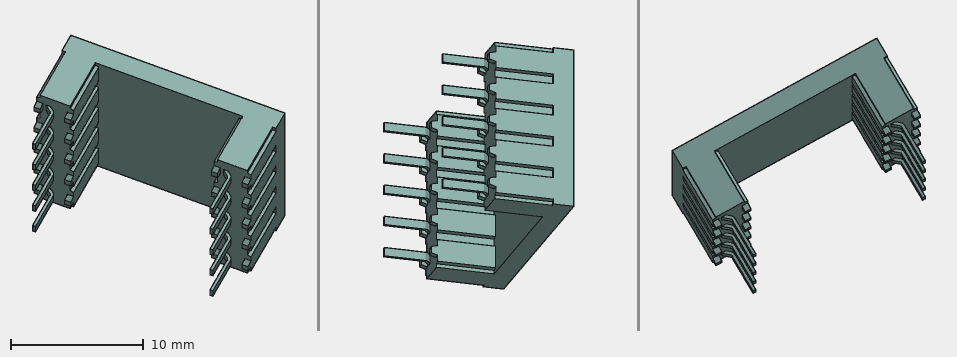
import cadquery as cq
import math

PLATE_WIDTH = 17.78
PLATE_THICKNESS = 1.62
HEIGHT = 12.7
PIN_COUNT = 5
PITCH = HEIGHT / PIN_COUNT

STRIP_WIDTH = 3.05
STRIP_DEPTH = 4.55
NOTCH_DEPTH = 0.28
NOTCH_FLOOR = 0.57
NOTCH_MOUTH = 0.78

FOOT_WIDTH = 0.52
FOOT_LENGTH = 0.5
FOOT_BASE = 0.8
FOOT_TIP = 0.5

PIN_WIDTH = 0.68
PIN_THICKNESS = 0.25
PIN_LENGTH = 3.75
PIN_OFFSET = 1.37
CRANK_ANGLE = 50.0
BEND_RADIUS = 0.1
BEND_DROP = 0.55

STRIP_FACE_Y = -STRIP_DEPTH
strip_starts = [-PLATE_WIDTH / 2, PLATE_WIDTH / 2 - STRIP_WIDTH]
pin_heights = [(i - (PIN_COUNT - 1) / 2) * PITCH for i in range(PIN_COUNT)]
notch_heights = [(i - PIN_COUNT / 2) * PITCH for i in range(PIN_COUNT + 1)]


def make_plate():
    """Back plate whose front face lies on Y = 0."""
    plate = cq.Workplane("XY").box(PLATE_WIDTH, PLATE_THICKNESS, HEIGHT)
    return plate.translate((0, PLATE_THICKNESS / 2, 0))


def make_notch(edge_x, inward, z):
    """Flared groove along Y, cut into a strip side; inward is the X direction into the strip."""
    floor_x = edge_x + inward * NOTCH_DEPTH
    outline = [
        (edge_x, z - NOTCH_MOUTH / 2),
        (floor_x, z - NOTCH_FLOOR / 2),
        (floor_x, z + NOTCH_FLOOR / 2),
        (edge_x, z + NOTCH_MOUTH / 2),
    ]
    return cq.Workplane("XZ").polyline(outline).close().extrude(STRIP_DEPTH)


def make_foot(start_x, z):
    """Foot that tapers in height towards its tip."""
    tip_y = STRIP_FACE_Y - FOOT_LENGTH
    outline = [
        (STRIP_FACE_Y, z - FOOT_BASE / 2),
        (tip_y, z - FOOT_TIP / 2),
        (tip_y, z + FOOT_TIP / 2),
        (STRIP_FACE_Y, z + FOOT_BASE / 2),
    ]
    return cq.Workplane("YZ").workplane(offset=start_x).polyline(outline).close().extrude(FOOT_WIDTH)


def make_pin(strip_x, z):
    """Flat pin that leaves the strip at an angle, bends round and then runs straight along -Y."""
    near_x = strip_x + PIN_OFFSET
    far_x = near_x + PIN_THICKNESS
    bend_x = near_x - BEND_RADIUS
    bend_y = STRIP_FACE_Y - BEND_DROP
    tip_y = STRIP_FACE_Y - PIN_LENGTH
    outer_radius = BEND_RADIUS + PIN_THICKNESS

    def on_bend(radius, degrees):
        angle = math.radians(degrees)
        return (bend_x + radius * math.cos(angle), bend_y + radius * math.sin(angle))

    def root(radius):
        """Point where the straight slanted side that follows the bend meets the strip face."""
        x, y = on_bend(radius, CRANK_ANGLE)
        return (x - (STRIP_FACE_Y - y) * math.tan(math.radians(CRANK_ANGLE)), STRIP_FACE_Y)

    outline = (
        cq.Workplane("XY")
        .workplane(offset=z - PIN_WIDTH / 2)
        .moveTo(near_x, tip_y)
        .lineTo(near_x, bend_y)
        .threePointArc(on_bend(BEND_RADIUS, CRANK_ANGLE / 2), on_bend(BEND_RADIUS, CRANK_ANGLE))
        .lineTo(*root(BEND_RADIUS))
        .lineTo(*root(outer_radius))
        .lineTo(*on_bend(outer_radius, CRANK_ANGLE))
        .threePointArc(on_bend(outer_radius, CRANK_ANGLE / 2), (far_x, bend_y))
        .lineTo(far_x, tip_y)
        .close()
    )
    return outline.extrude(PIN_WIDTH)


def make_strip(start_x):
    """Socket strip with grooved sides, feet and pins."""
    end_x = start_x + STRIP_WIDTH
    strip = cq.Workplane("XY").box(STRIP_WIDTH, STRIP_DEPTH, HEIGHT)
    strip = strip.translate((start_x + STRIP_WIDTH / 2, -STRIP_DEPTH / 2, 0))
    for z in notch_heights:
        strip = strip.cut(make_notch(start_x, 1, z))
        strip = strip.cut(make_notch(end_x, -1, z))
    for z in pin_heights:
        strip = strip.union(make_foot(start_x, z))
        strip = strip.union(make_foot(end_x - FOOT_WIDTH, z))
        strip = strip.union(make_pin(start_x, z))
    return strip


result = make_plate()
for strip_start in strip_starts:
    result = result.union(make_strip(strip_start))